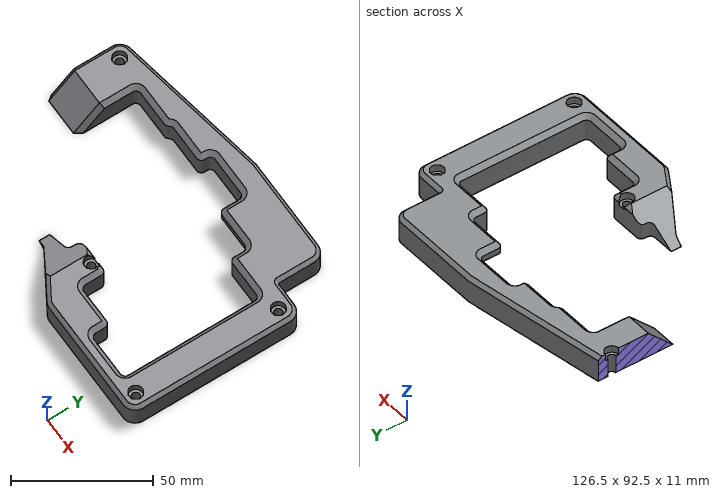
import cadquery as cq
import math

LENGTH = 126.53
WIDTH = 92.5
THICKNESS = 11.0

OUTER_RADIUS = 5.0
STEP_RADIUS = 2.0
SHOULDER_RADIUS = 0.5
TIP_RADIUS = 3.0

OUTER_CHAMFER = 1.5
INNER_CHAMFER = 1.95

SLOPE_LEFT_Y = 81.0
SLOPE_RIGHT_X = 67.5
SHOULDER_X = 111.5
SHOULDER_Y = 72.3
ARM_SLOPE_X = 73.7

FOOT_WIDTH = 19.0
FOOT_Y = 49.0
FOOT_RAMP_RUN = THICKNESS

TIP_X = 46.1
TIP_TOP_Y = 19.5
TIP_BOTTOM_Y = 15.0
TIP_BEND_X = 50.0
TIP_BEND_Y = 14.4
TIP_RAMP_ANGLE = 30.0
TIP_RAMP_RUN = THICKNESS / math.tan(math.radians(TIP_RAMP_ANGLE))

CEILING_1_Y = 74.8
RISER_1_START_X = 36.95
RISER_1_END_X = 38.25
CEILING_2_Y = 76.6
RISER_2_X = 55.6
CEILING_3_Y = 81.7
RISER_3_X = 75.7
CEILING_4_Y = 71.3
RISER_4_X = 93.9
CEILING_5_Y = 63.6
INNER_RIGHT_X = 112.5
FLOOR_1_Y = 6.2
FLOOR_STEP_X = 92.1
FLOOR_2_Y = 14.0
ARM_END_X = 74.0
ARM_TOP_Y = 24.6
ARM_NECK_X = 57.5

POCKET_HEIGHT = 6.5
POCKET_LEFT_X = 73.8
POCKET_FRONT_Y = 69.4
POCKET_WALL = 3.0

HOLE_DIAMETER = 3.3
BORE_DIAMETER = 5.6
BORE_DEPTH = 3.0
HOLE_INSET = 6.0
FOOT_HOLE_Y = 76.0
ARM_HOLE_X = 68.4
ARM_HOLE_Y = 22.1
HOLE_POINTS = [
    (HOLE_INSET, FOOT_HOLE_Y),
    (LENGTH - HOLE_INSET, SHOULDER_Y - HOLE_INSET),
    (LENGTH - HOLE_INSET, HOLE_INSET),
    (ARM_HOLE_X, ARM_HOLE_Y),
]

OUTER_CORNERS = [
    (TIP_X, TIP_BOTTOM_Y, 0),
    (TIP_BEND_X, TIP_BEND_Y, TIP_RADIUS),
    (ARM_SLOPE_X, 0, OUTER_RADIUS),
    (LENGTH, 0, OUTER_RADIUS),
    (LENGTH, SHOULDER_Y, OUTER_RADIUS),
    (SHOULDER_X, SHOULDER_Y, SHOULDER_RADIUS),
    (SHOULDER_X, WIDTH, OUTER_RADIUS),
    (SLOPE_RIGHT_X, WIDTH, OUTER_RADIUS),
    (0, SLOPE_LEFT_Y, OUTER_RADIUS),
    (0, FOOT_Y, 0),
]
INNER_CORNERS = [
    (FOOT_WIDTH, FOOT_Y, 0),
    (FOOT_WIDTH, CEILING_1_Y, STEP_RADIUS),
    (RISER_1_START_X, CEILING_1_Y, STEP_RADIUS),
    (RISER_1_END_X, CEILING_2_Y, STEP_RADIUS),
    (RISER_2_X, CEILING_2_Y, STEP_RADIUS),
    (RISER_2_X, CEILING_3_Y, STEP_RADIUS),
    (RISER_3_X, CEILING_3_Y, STEP_RADIUS),
    (RISER_3_X, CEILING_4_Y, STEP_RADIUS),
    (RISER_4_X, CEILING_4_Y, STEP_RADIUS),
    (RISER_4_X, CEILING_5_Y, STEP_RADIUS),
    (INNER_RIGHT_X, CEILING_5_Y, STEP_RADIUS),
    (INNER_RIGHT_X, FLOOR_1_Y, STEP_RADIUS),
    (FLOOR_STEP_X, FLOOR_1_Y, STEP_RADIUS),
    (FLOOR_STEP_X, FLOOR_2_Y, STEP_RADIUS),
    (ARM_END_X, FLOOR_2_Y, STEP_RADIUS),
    (ARM_END_X, ARM_TOP_Y, STEP_RADIUS),
    (ARM_NECK_X, ARM_TOP_Y, STEP_RADIUS),
    (ARM_NECK_X, TIP_TOP_Y, STEP_RADIUS),
    (TIP_X, TIP_TOP_Y, 0),
]

TOLERANCE = 1e-4


def rounded_path(corners):
    """Draw straight runs through the corners, each rounded by a tangent arc."""
    path = cq.Workplane("XY").moveTo(*corners[0][:2])
    for before, corner, after in zip(corners, corners[1:], corners[2:]):
        point = cq.Vector(*corner[:2])
        radius = corner[2]
        if radius == 0:
            path = path.lineTo(point.x, point.y)
            continue
        to_before = (cq.Vector(*before[:2]) - point).normalized()
        to_after = (cq.Vector(*after[:2]) - point).normalized()
        half_angle = to_before.getAngle(to_after) / 2
        setback = radius / math.tan(half_angle)
        arc_start = point + to_before * setback
        arc_end = point + to_after * setback
        bisector = (to_before + to_after).normalized()
        arc_middle = point + bisector * (radius / math.sin(half_angle) - radius)
        path = path.lineTo(arc_start.x, arc_start.y)
        path = path.threePointArc((arc_middle.x, arc_middle.y), (arc_end.x, arc_end.y))
    return path.lineTo(*corners[-1][:2])


def side_wedge(plane, points, width):
    """Extrude a triangular ramp cutter from points in a vertical plane."""
    return cq.Workplane(plane).polyline(points).close().extrude(width)


def frame_blank():
    """Flat C-shaped frame with the foot ramp cut."""
    blank = rounded_path(OUTER_CORNERS + INNER_CORNERS).close().extrude(THICKNESS)
    ramp_points = [
        (FOOT_Y, 0),
        (FOOT_Y, THICKNESS),
        (FOOT_Y + FOOT_RAMP_RUN, THICKNESS),
    ]
    return blank.cut(side_wedge("YZ", ramp_points, FOOT_WIDTH))


def upper_edges(body, corners):
    """Top and foot ramp edges that lie above one side of the outline."""
    side = rounded_path(corners).wire().val()
    edges = []
    for edge in body.edges().vals():
        middle = edge.positionAt(0.5)
        foot_point = cq.Vertex.makeVertex(middle.x, middle.y, 0)
        on_side = foot_point.distance(side) < TOLERANCE
        vertical = abs(edge.tangentAt(0.5).z) > 1 - TOLERANCE
        if on_side and middle.z > TOLERANCE and not vertical:
            edges.append(edge)
    return edges


def chamfered_frame():
    """Break the upper edges along both sides of the frame."""
    body = frame_blank()
    body = body.newObject(upper_edges(body, OUTER_CORNERS)).chamfer(OUTER_CHAMFER)
    return body.newObject(upper_edges(body, INNER_CORNERS)).chamfer(INNER_CHAMFER)


def tip_ramp():
    """Cutter that slopes the arm down to a knife edge at its tip."""
    ramp_points = [
        (TIP_X, 0),
        (TIP_X, THICKNESS),
        (TIP_X + TIP_RAMP_RUN, THICKNESS),
    ]
    return side_wedge("XZ", ramp_points, -ARM_TOP_Y)


def underside_pocket():
    """Cutter hollowing the upper right block from below."""
    length = SHOULDER_X - POCKET_WALL - POCKET_LEFT_X
    width = WIDTH - POCKET_WALL - POCKET_FRONT_Y
    pocket = cq.Workplane("XY").box(length, width, POCKET_HEIGHT, centered=False)
    return pocket.translate((POCKET_LEFT_X, POCKET_FRONT_Y, 0))


def screw_holes(body):
    """Drill the counterbored holes from the top face."""
    top = body.copyWorkplane(cq.Workplane("XY", origin=(0, 0, THICKNESS)))
    return top.pushPoints(HOLE_POINTS).cboreHole(HOLE_DIAMETER, BORE_DIAMETER, BORE_DEPTH)


result = screw_holes(chamfered_frame().cut(tip_ramp()).cut(underside_pocket()))